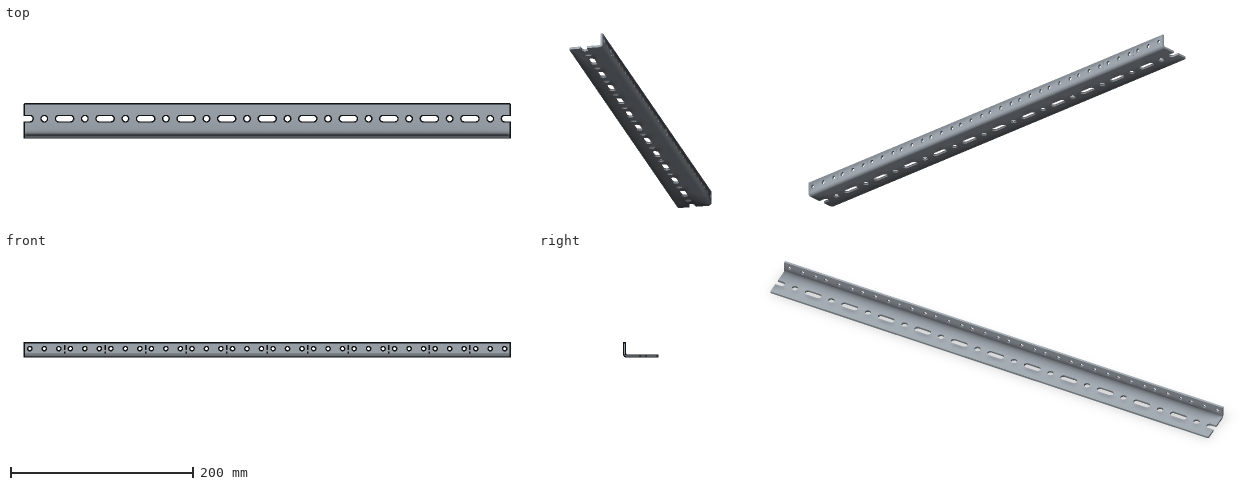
import cadquery as cq

length = 533.5
depth = 38.0
height = 16.0
thickness = 2.4
inner_bend_radius = 1.35
outer_bend_radius = inner_bend_radius + thickness
corner_radius = 1.7

unit_count = 12
unit = length / unit_count
hole_diameter = 4.5
hole_inset = unit / 7
hole_rise = 1.35
hole_height = height / 2 + hole_rise

slot_width = 7.0
slot_length = 20.0
slot_row_y = 21.5

mark_width = 0.5
mark_depth = 0.5
mark_strokes = ((5.0, 6.0), (8.5, 13.0))


def make_angle():
    """Bent sheet of L-section with its free base corners rounded."""
    outline = [
        (0, 0),
        (depth, 0),
        (depth, thickness),
        (thickness, thickness),
        (thickness, height),
        (0, height),
    ]
    angle = cq.Workplane("YZ").polyline(outline).close().extrude(length)
    outer_edge = cq.selectors.NearestToPointSelector((length / 2, 0, 0))
    inner_edge = cq.selectors.NearestToPointSelector((length / 2, thickness, thickness))
    angle = angle.edges(outer_edge).fillet(outer_bend_radius)
    angle = angle.edges(inner_edge).fillet(inner_bend_radius)
    return angle.edges("|Z and >Y").fillet(corner_radius)


def base_openings():
    """Slots on every unit boundary, open at both rail ends, and the holes between them."""
    boundaries = [(i * unit, slot_row_y) for i in range(unit_count + 1)]
    middles = [((i + 0.5) * unit, slot_row_y) for i in range(unit_count)]
    base = cq.Workplane("XY")
    slots = base.pushPoints(boundaries).slot2D(slot_length, slot_width).extrude(thickness)
    holes = base.pushPoints(middles).circle(slot_width / 2).extrude(thickness)
    return slots.union(holes)


def flange_holes():
    """Rack mounting holes through the upright flange."""
    offsets = (hole_inset, unit / 2, unit - hole_inset)
    points = [(i * unit + x, hole_height) for i in range(unit_count) for x in offsets]
    return cq.Workplane("XZ").pushPoints(points).circle(hole_diameter / 2).extrude(-thickness)


def unit_mark_strokes(bottom, top):
    """One shallow upright stroke at every inner unit boundary."""
    points = [(i * unit, (bottom + top) / 2) for i in range(1, unit_count)]
    return cq.Workplane("XZ").pushPoints(points).rect(mark_width, top - bottom).extrude(-mark_depth)


result = make_angle().cut(base_openings()).cut(flange_holes())
for stroke_bottom, stroke_top in mark_strokes:
    result = result.cut(unit_mark_strokes(stroke_bottom, stroke_top))